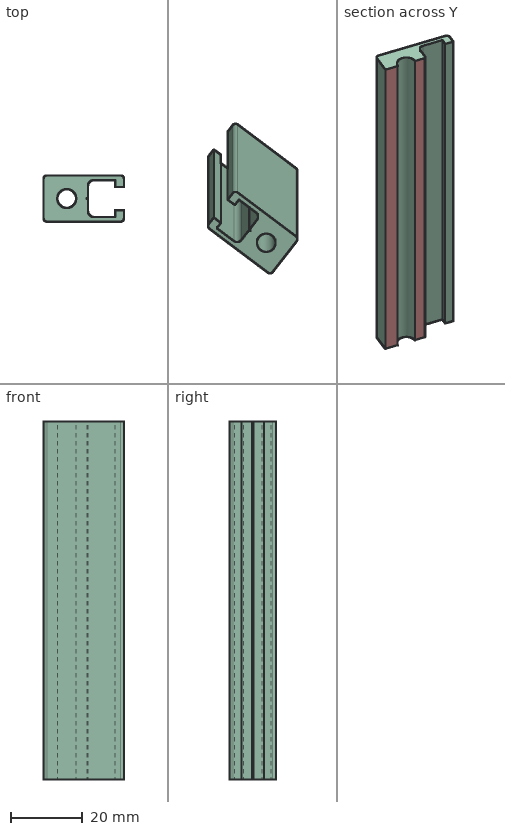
import cadquery as cq

length = 100.0
width = 22.5
depth = 13.0
corner_radius = 1.0

bore_diameter = 5.2
bore_from_back = 6.5

lip_thickness = 2.5
mouth_width = 6.4
wall_thickness = 1.4
slot_depth = 10.0
slot_inner_radius = 1.5

groove_depth = 0.4
groove_width = 0.4

x_front = width / 2
x_back = -width / 2
cavity_length = slot_depth - lip_thickness
cavity_width = depth - 2 * wall_thickness
cavity_center_x = x_front - lip_thickness - cavity_length / 2


def body():
    """Rectangular bar with rounded lengthwise edges."""
    return cq.Workplane("XY").box(width, depth, length).edges("|Z").fillet(corner_radius)


def bore():
    """Through hole along the bar."""
    return (
        cq.Workplane("XY")
        .center(x_back + bore_from_back, 0)
        .circle(bore_diameter / 2)
        .extrude(length / 2, both=True)
    )


def slot():
    """Wide inner cavity joined to a narrower mouth between the lips."""
    cavity = (
        cq.Workplane("XY")
        .box(cavity_length, cavity_width, length)
        .translate((cavity_center_x, 0, 0))
        .edges("|Z and <X")
        .fillet(slot_inner_radius)
    )
    mouth = (
        cq.Workplane("XY")
        .box(slot_depth / 2, mouth_width, length)
        .translate((x_front - slot_depth / 4, 0, 0))
    )
    return cavity.union(mouth)


def groove():
    """V-shaped score line along the middle of the slot floor."""
    x_floor = x_front - slot_depth
    return (
        cq.Workplane("XY")
        .moveTo(x_floor, -groove_width / 2)
        .lineTo(x_floor - groove_depth, 0)
        .lineTo(x_floor, groove_width / 2)
        .close()
        .extrude(length / 2, both=True)
    )


result = body().cut(bore()).cut(slot()).cut(groove())